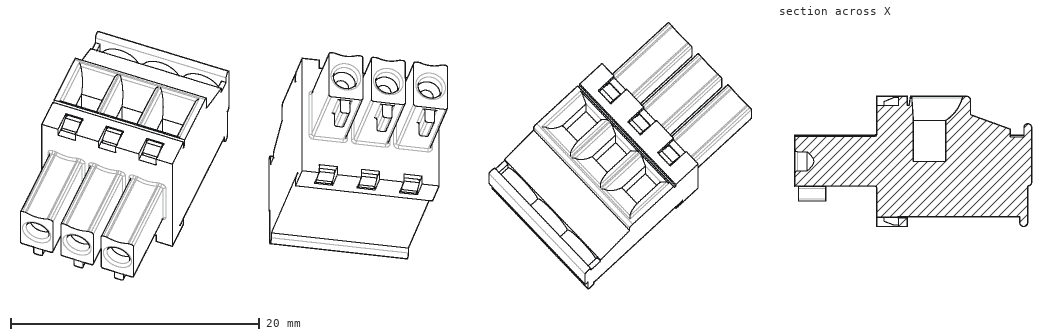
import cadquery as cq
import math


width = 11.3
total_length = 19.1
height = 10.5
plug_length = 6.6
back_y = total_length - plug_length

pitch = 3.5
pole_positions = [-pitch, 0, pitch]

underside_z = 0.78
foot_depth = 2.46
rib_thickness = 0.65
rib_radius = rib_thickness / 2
lip_front_y = back_y - rib_thickness
lip_bottom_z = 3.27
lip_top_z = 8.29
latch_back_y = back_y - rib_radius
latch_front_y = latch_back_y - rib_thickness
channel_floor_z = 7.37
channel_front_y = 10.77
ramp_low_z = 7.85
ramp_high_z = 9.02
shoulder_y = 7.56
shoulder_radius = 0.35

marker_groove_depth = 0.75
marker_groove_bottom_width = 0.13
marker_groove_top_width = 0.25
foot_slit_depth = 0.76
foot_slit_height = 0.08

screw_radius = pitch / 2

funnel_front_y = 2.83
funnel_back_y = 6.91
funnel_width = 3.05
funnel_floor_z = 8.55
funnel_wall_bulge = 0.17
funnel_rim_radius = 0.23
wire_hole_width = 1.78
wire_hole_front_y = 2.96
wire_hole_back_y = 5.55
wire_hole_floor_z = height / 2

notch_width = 1.49
notch_length = 1.74
notch_depth = 0.75
wedge_width = 1.3
wedge_front_y = 0.57
wedge_ridge_y = 1.4
wedge_front_drop = 0.44
wedge_ridge_drop = 0.11

plug_width = 2.8
plug_bottom_z = 3.25
plug_top_z = 7.37
plug_corner_radius = 0.2
plug_root_radius = 0.2
groove_half_width = 0.94
groove_depth = 0.2
groove_edge_radius = 0.29

key_width = 0.78
key_bottom_z = 2.05
key_radius = 0.2
key_front_y = -6.3
key_length = 2.22

socket_z = height / 2
socket_radius = 1.0
socket_mouth_radius = 0.23
socket_straight_depth = 1.01
socket_depth = 1.65
socket_floor_radius = 0.57

pick_margin = 0.02


def across_body(outline, span):
    """Extrude a closed YZ outline symmetrically about x = 0."""
    return outline.close().extrude(span / 2, both=True)


def block(x_center, x_size, y_range, z_range):
    """Box given by its X centre and size and its Y and Z limits."""
    y_low, y_high = y_range
    z_low, z_high = z_range
    return cq.Workplane("XY").box(x_size, y_high - y_low, z_high - z_low).translate(
        (x_center, (y_low + y_high) / 2, (z_low + z_high) / 2)
    )


def body_block():
    lip_curve_top = lip_top_z - rib_radius
    outline = (
        cq.Workplane("YZ")
        .moveTo(0, 0)
        .lineTo(foot_depth, 0)
        .lineTo(foot_depth, underside_z)
        .lineTo(latch_front_y, underside_z)
        .lineTo(latch_front_y, rib_radius)
        .threePointArc((latch_front_y + rib_radius, 0), (latch_back_y, rib_radius))
        .lineTo(latch_back_y, lip_bottom_z)
        .radiusArc((back_y, lip_bottom_z + rib_radius), -rib_radius)
        .lineTo(back_y, lip_curve_top)
        .threePointArc((back_y - rib_radius, lip_top_z), (lip_front_y, lip_curve_top))
        .lineTo(lip_front_y, channel_floor_z)
        .lineTo(channel_front_y, channel_floor_z)
        .lineTo(channel_front_y, ramp_low_z)
        .lineTo(shoulder_y, ramp_high_z)
        .lineTo(shoulder_y, height - shoulder_radius)
        .radiusArc((shoulder_y - shoulder_radius, height), -shoulder_radius)
        .lineTo(0, height)
    )
    return across_body(outline, width)


def marker_groove():
    """Tapered groove across the top, with an upright front wall."""
    bottom_z = height - marker_groove_depth
    outline = cq.Workplane("YZ").polyline([
        (foot_depth, height),
        (foot_depth, bottom_z),
        (foot_depth + marker_groove_bottom_width, bottom_z),
        (foot_depth + marker_groove_top_width, height),
    ])
    return across_body(outline, width)


def foot_slit():
    """Narrow slit above the back of the front foot."""
    return block(
        0,
        width,
        (foot_depth - foot_slit_depth, foot_depth),
        (underside_z - foot_slit_height, underside_z),
    )


def screw_wells():
    """Pocket in the channel floor that leaves the rounded screw barrels standing."""
    screw_axis_z = channel_floor_z - screw_radius
    wells = block(
        0,
        len(pole_positions) * pitch,
        (channel_front_y, lip_front_y),
        (screw_axis_z, channel_floor_z),
    )
    barrel = (
        cq.Workplane("XZ", origin=(0, lip_front_y, screw_axis_z))
        .circle(screw_radius)
        .extrude(lip_front_y - channel_front_y)
    )
    for x in pole_positions:
        wells = wells.cut(barrel.translate((x, 0, 0)))
    return wells


def wire_funnel(x):
    """Funnel with sloped sides and a hollow back wall, above a rectangular wire hole."""
    wall_middle = (
        (funnel_back_y + wire_hole_back_y) / 2 + funnel_wall_bulge,
        (height + funnel_floor_z) / 2 - funnel_wall_bulge,
    )
    side_outline = (
        cq.Workplane("YZ")
        .moveTo(funnel_front_y, height)
        .lineTo(wire_hole_front_y, funnel_floor_z)
        .lineTo(wire_hole_back_y, funnel_floor_z)
        .threePointArc(wall_middle, (funnel_back_y, height))
    )
    front_outline = cq.Workplane("XZ").polyline([
        (-funnel_width / 2, height),
        (-wire_hole_width / 2, funnel_floor_z),
        (wire_hole_width / 2, funnel_floor_z),
        (funnel_width / 2, height),
    ])
    sloped_sides = front_outline.close().extrude(-back_y)
    funnel = across_body(side_outline, funnel_width).intersect(sloped_sides)
    hole = block(
        0,
        wire_hole_width,
        (wire_hole_front_y, wire_hole_back_y),
        (wire_hole_floor_z, funnel_floor_z),
    )
    return funnel.union(hole).translate((x, 0, 0))


def notch_cutter(x):
    """Top corner notch, less the wedge that stays standing in it."""
    floor_z = height - notch_depth
    notch = block(x, notch_width, (0, notch_length), (floor_z, height))
    wedge = across_body(
        cq.Workplane("YZ").polyline([
            (wedge_front_y, floor_z),
            (wedge_front_y, height - wedge_front_drop),
            (wedge_ridge_y, height - wedge_ridge_drop),
            (notch_length, height - wedge_ridge_drop),
            (notch_length, floor_z),
        ]),
        wedge_width,
    )
    return notch.cut(wedge.translate((x, 0, 0)))


def plug(x):
    """Rounded bar with a shallow round groove along its top."""
    bar = block(x, plug_width, (-plug_length, 0), (plug_bottom_z, plug_top_z))
    bar = bar.edges("|Y").fillet(plug_corner_radius)
    groove_radius = (groove_half_width**2 + groove_depth**2) / (2 * groove_depth)
    groove = (
        cq.Workplane("XZ", origin=(x, 0, plug_top_z - groove_depth + groove_radius))
        .circle(groove_radius)
        .extrude(plug_length)
    )
    bar = bar.cut(groove)
    groove_edges = cq.selectors.BoxSelector(
        (x - groove_half_width - pick_margin, -plug_length, plug_top_z - pick_margin),
        (x + groove_half_width + pick_margin, 0, plug_top_z + pick_margin),
    )
    return bar.edges("|Y").edges(groove_edges).fillet(groove_edge_radius)


def plug_key(x):
    """Key under the plug, with rounded lower edges and flared upper corners."""
    half = key_width / 2
    flare_z = plug_bottom_z - key_radius
    flare_half = half + key_radius
    return (
        cq.Workplane("XZ", origin=(x, key_front_y + key_length, 0))
        .moveTo(-flare_half, plug_bottom_z)
        .radiusArc((-half, flare_z), key_radius)
        .lineTo(-half, key_bottom_z + key_radius)
        .radiusArc((-half + key_radius, key_bottom_z), -key_radius)
        .lineTo(half - key_radius, key_bottom_z)
        .radiusArc((half, key_bottom_z + key_radius), -key_radius)
        .lineTo(half, flare_z)
        .radiusArc((flare_half, plug_bottom_z), key_radius)
        .lineTo(flare_half, plug_bottom_z + key_radius)
        .lineTo(-flare_half, plug_bottom_z + key_radius)
        .close()
        .extrude(key_length)
    )


def socket_cutter(x):
    """Round socket with a rounded mouth, narrowing to a flat floor."""
    mouth_curve = socket_mouth_radius * (1 - math.sqrt(0.5))
    return (
        cq.Workplane("XY")
        .moveTo(0, 0)
        .lineTo(socket_radius + socket_mouth_radius, 0)
        .threePointArc(
            (socket_radius + mouth_curve, mouth_curve),
            (socket_radius, socket_mouth_radius),
        )
        .lineTo(socket_radius, socket_straight_depth)
        .lineTo(socket_floor_radius, socket_depth)
        .lineTo(0, socket_depth)
        .close()
        .revolve(360, (0, 0), (0, 1))
        .translate((x, -plug_length, socket_z))
    )


body = body_block().cut(screw_wells())
for pole_x in pole_positions:
    body = body.cut(wire_funnel(pole_x))
funnel_mouths = cq.selectors.BoxSelector(
    (-width / 2 + pick_margin, funnel_front_y + pick_margin, height - pick_margin),
    (width / 2 - pick_margin, funnel_back_y + pick_margin, height + pick_margin),
)
body = body.edges(funnel_mouths).fillet(funnel_rim_radius)
body = body.cut(marker_groove()).cut(foot_slit())

for pole_x in pole_positions:
    body = body.union(plug(pole_x))
plug_roots = cq.selectors.BoxSelector(
    (-width / 2 + pick_margin, -pick_margin, plug_bottom_z - pick_margin),
    (width / 2 - pick_margin, pick_margin, plug_top_z + pick_margin),
    boundingbox=True,
)
body = body.edges(plug_roots).fillet(plug_root_radius)

for pole_x in pole_positions:
    upper_notch = notch_cutter(pole_x)
    lower_notch = upper_notch.mirror("XY", (0, 0, height / 2))
    body = body.union(plug_key(pole_x)).cut(socket_cutter(pole_x))
    body = body.cut(upper_notch).cut(lower_notch)

result = body